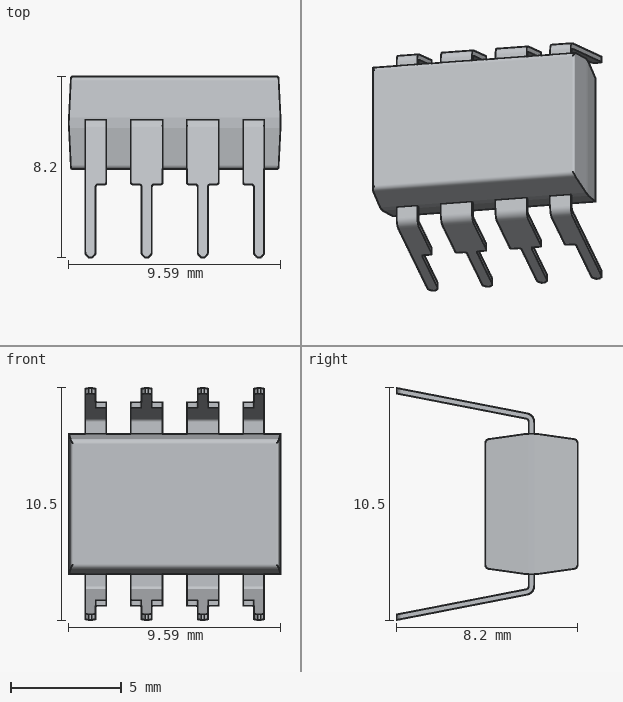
import cadquery as cq
import math

body_length = 9.59
body_height = 6.35
body_depth = 4.2
long_belt_width = 0.48
long_draft_deg = 8.0
long_edge_radius = 0.22
end_belt_width = 0.27
end_draft_deg = 2.8
end_edge_radius = 0.1

lead_span = 10.5
lead_thickness = 0.25
lead_splay_deg = 11.0
bend_inner_radius = 0.15
lead_root_height = 2.1
lead_tip_y = -6.1
shoulder_y = -2.79
shoulder_radius = 0.1
tip_chamfer = 0.17
tip_radius = 0.17
lead_pitch = 2.54
lead_count = 4
wide_width = 1.45
pin_width = 0.47


def make_tapered_bar(plane, width, belt_width, draft_deg, edge_radius, length):
    """Centred bar, tapering from its belt to both faces, with its face edges rounded.

    The plane's first direction is the taper direction, its second is the body depth.
    """
    half_width = width / 2
    half_depth = body_depth / 2
    half_belt = belt_width / 2
    face_half_width = half_width - (half_depth - half_belt) * math.tan(math.radians(draft_deg))
    outline = [
        (half_width, -half_belt),
        (half_width, half_belt),
        (face_half_width, half_depth),
        (-face_half_width, half_depth),
        (-half_width, half_belt),
        (-half_width, -half_belt),
        (-face_half_width, -half_depth),
        (face_half_width, -half_depth),
    ]
    section = cq.Workplane(plane)
    bar = section.polyline(outline).close().extrude(length / 2, both=True)
    along_bar = cq.selectors.ParallelDirSelector(section.plane.zDir)
    return bar.faces("<Y or >Y").edges(along_bar).fillet(edge_radius)


def make_body():
    """Body tapered in both height and length, with mitred corners."""
    height_taper = make_tapered_bar(
        "ZY", body_height, long_belt_width, long_draft_deg, long_edge_radius, body_length
    )
    length_taper = make_tapered_bar(
        "XY", body_length, end_belt_width, end_draft_deg, end_edge_radius, body_height
    )
    return height_taper.intersect(length_taper)


def make_bent_sheet():
    """Full-length bent strip for the upper row, before its leads are cut out."""
    slope = math.tan(math.radians(lead_splay_deg))
    sheet_back = lead_thickness / 2
    sheet_front = -lead_thickness / 2
    vertical_thickness = lead_thickness / math.cos(math.radians(lead_splay_deg))
    tip_top = lead_span / 2

    def top_height(y):
        return tip_top - slope * (y - lead_tip_y)

    outline = [
        (sheet_back, lead_root_height),
        (sheet_back, top_height(sheet_back)),
        (lead_tip_y, tip_top),
        (lead_tip_y, tip_top - vertical_thickness),
        (sheet_front, top_height(sheet_front) - vertical_thickness),
        (sheet_front, lead_root_height),
    ]
    sheet = cq.Workplane("YZ").polyline(outline).close().extrude(body_length / 2, both=True)
    outer_corner = (0, sheet_back, top_height(sheet_back))
    inner_corner = (0, sheet_front, top_height(sheet_front) - vertical_thickness)
    sheet = sheet.edges(cq.NearestToPointSelector(outer_corner)).fillet(bend_inner_radius + lead_thickness)
    return sheet.edges(cq.NearestToPointSelector(inner_corner)).fillet(bend_inner_radius)


def make_lead_outline(center_x, has_left_shoulder, has_right_shoulder):
    """Upright prism with the plan outline of one lead."""
    back_y = lead_thickness
    pin = (
        cq.Workplane("XY")
        .center(center_x, (back_y + lead_tip_y) / 2)
        .rect(pin_width, back_y - lead_tip_y)
        .extrude(lead_span / 2)
        .edges("|Z and <Y")
        .chamfer(tip_chamfer)
    )
    for side in (-1, 1):
        tip_corner = (center_x + side * pin_width / 2, lead_tip_y + tip_chamfer, lead_span / 4)
        pin = pin.edges(cq.NearestToPointSelector(tip_corner)).fillet(tip_radius)
    left_x = center_x - (wide_width if has_left_shoulder else pin_width) / 2
    right_x = center_x + (wide_width if has_right_shoulder else pin_width) / 2
    wide = (
        cq.Workplane("XY")
        .center((left_x + right_x) / 2, (back_y + shoulder_y) / 2)
        .rect(right_x - left_x, back_y - shoulder_y)
        .extrude(lead_span / 2)
    )
    outline = wide.union(pin)
    for side, has_shoulder in ((-1, has_left_shoulder), (1, has_right_shoulder)):
        if has_shoulder:
            for half_width in (wide_width / 2, pin_width / 2):
                corner = (center_x + side * half_width, shoulder_y, lead_span / 4)
                outline = outline.edges(cq.NearestToPointSelector(corner)).fillet(shoulder_radius)
    return outline


def make_lead_row():
    """Upper row of leads; the two end leads have a shoulder on their inner side only."""
    sheet = make_bent_sheet()
    row = cq.Workplane("XY")
    for index in range(lead_count):
        center_x = (index - (lead_count - 1) / 2) * lead_pitch
        outline = make_lead_outline(center_x, index > 0, index < lead_count - 1)
        row = row.add(sheet.intersect(outline))
    return row.combine()


upper_leads = make_lead_row()
lower_leads = upper_leads.mirror("XY")
result = make_body().union(upper_leads).union(lower_leads)